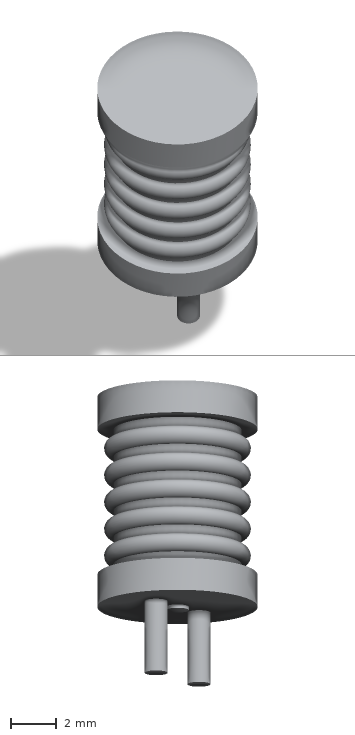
import cadquery as cq

total_height = 12.55
flange_diameter = 7.0
flange_thickness = 1.425
core_diameter = 5.6
core_gap = 0.05
rod_diameter = 1.4
wire_diameter = 0.8
turn_count = 5
turn_pitch = 1.2
pin_diameter = 1.0
pin_length = 3.2
pin_spacing = 3.0
stub_length = 0.15

body_height = total_height - pin_length
upper_flange_bottom = body_height - flange_thickness
core_bottom = flange_thickness + core_gap
core_top = upper_flange_bottom - core_gap
core_middle = (core_bottom + core_top) / 2


def cylinder(diameter, bottom, top, x=0):
    """Vertical cylinder reaching from height 'bottom' to height 'top'."""
    return cq.Workplane("XY", origin=(x, 0, bottom)).circle(diameter / 2).extrude(top - bottom)


def bobbin():
    """Core carried between two flanges by a central rod, with a thin gap at each end of the core."""
    lower_flange = cylinder(flange_diameter, 0, flange_thickness)
    upper_flange = cylinder(flange_diameter, upper_flange_bottom, body_height)
    rod = cylinder(rod_diameter, 0, body_height)
    core = cylinder(core_diameter, core_bottom, core_top)
    return rod.union(core).union(lower_flange).union(upper_flange)


def winding_turn(height):
    """Half-round ring whose wire centre line lies on the core surface; its flat side is sunk in the core."""
    core_radius = core_diameter / 2
    wire_radius = wire_diameter / 2
    sunk_radius = core_radius - wire_radius
    return (
        cq.Workplane("XZ")
        .moveTo(sunk_radius, height - wire_radius)
        .lineTo(core_radius, height - wire_radius)
        .threePointArc((core_radius + wire_radius, height), (core_radius, height + wire_radius))
        .lineTo(sunk_radius, height + wire_radius)
        .close()
        .revolve(360, (0, 0), (0, 1))
    )


result = bobbin()

for turn in range(turn_count):
    offset = (turn - (turn_count - 1) / 2) * turn_pitch
    result = result.union(winding_turn(core_middle + offset))

for side in (-1, 1):
    result = result.union(cylinder(pin_diameter, -pin_length, 0, side * pin_spacing / 2))
result = result.union(cylinder(pin_diameter, -stub_length, 0))